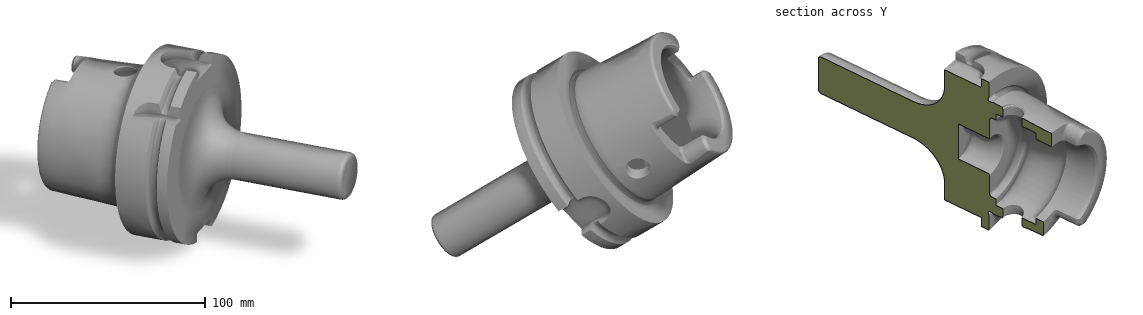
import cadquery as cq
import math

total_length = 160.0

taper_length = 50.0
taper_end_x = 47.4
taper_small_radius = 35.4
taper_big_radius = 37.8
taper_mouth_fillet = 1.6

relief_radius = 37.3
relief_start_x = 48.3
relief_end_x = 49.3
relief_fillet = 1.5
relief_face_radius = 39.7

flange_diameter = 100.0
flange_radius = flange_diameter / 2
flange_width = 29.0
flange_end_x = taper_length + flange_width
groove_radius = 46.0
groove_offset = 20.0
groove_center_x = taper_length + groove_offset
groove_bottom_width = 3.0
groove_top_width = 6.4
groove_fillet = 1.0

shank_radius = 12.5
shank_root_fillet = 20.0
shank_end_fillet = 2.4

bore_radius = 26.5
bore_mouth_radius = 27.4
bore_mouth_depth = 1.5
bore_length = 20.0
cavity_radius = 30.7
cavity_end_x = 45.6
floor_x = 49.6
floor_fillet = 1.8
center_hole_radius = 11.7
center_hole_depth = 20.0
center_hole_chamfer = 0.8

cross_hole_x = 35.0
cross_hole_radius = 6.0
cross_hole_rim_radius = 6.4
cross_hole_rim_z = 36.5

drive_slot_half_width = 10.0
drive_slot_corner_radius = 5.5
drive_slot_shoulder_z = 32.0
drive_slot_floor_fillet = 1.8
drive_slot_mouth_chamfer = 1.6
top_drive_slot_depth = 9.8
bottom_drive_slot_depth = 15.0

keyway_half_width = 9.8
keyway_floor_z = 44.0
keyway_end_x = 55.2
notch_offset = 31.7
notch_end_radius = 8.0
notch_straight_length = 16.2
notch_round_x = flange_end_x - notch_straight_length
cutter_edge_fillet = 0.5

clearance = 16.0

diagonal = math.sqrt(0.5)


def opposite(cutter):
    """Same body turned half way round the X axis."""
    return cutter.rotate((0, 0, 0), (1, 0, 0), 180)


def turned_body():
    """Solid outline of taper, undercut, flange and shank."""
    shank_root_x = flange_end_x + shank_root_fillet
    root_center_r = shank_radius + shank_root_fillet
    relief_center_r = relief_radius + relief_fillet
    outline = (
        cq.Workplane("XY")
        .lineTo(0, taper_small_radius)
        .lineTo(taper_end_x, taper_big_radius)
        .lineTo(relief_start_x, relief_radius)
        .lineTo(relief_end_x, relief_radius)
        .threePointArc(
            (relief_end_x + relief_fillet * diagonal, relief_center_r - relief_fillet * diagonal),
            (relief_end_x + relief_fillet, relief_center_r),
        )
        .lineTo(taper_length, relief_face_radius)
        .lineTo(taper_length, flange_radius)
        .lineTo(flange_end_x, flange_radius)
        .lineTo(flange_end_x, root_center_r)
        .threePointArc(
            (shank_root_x - shank_root_fillet * diagonal, root_center_r - shank_root_fillet * diagonal),
            (shank_root_x, shank_radius),
        )
        .lineTo(total_length, shank_radius)
        .lineTo(total_length, 0)
        .close()
    )
    body = outline.revolve(360, (0, 0, 0), (1, 0, 0))
    body = body.faces("<X").edges().fillet(taper_mouth_fillet)
    return body.faces(">X").edges().fillet(shank_end_fillet)


def gripper_groove():
    """Ring with sloped flanks and rounded bottom corners, cut into the flange rim."""
    half_bottom = groove_bottom_width / 2
    half_top = groove_top_width / 2
    outer_radius = flange_radius + clearance
    ring = (
        cq.Workplane("XY")
        .moveTo(groove_center_x - half_bottom, groove_radius)
        .lineTo(groove_center_x - half_top, flange_radius)
        .lineTo(groove_center_x - half_top, outer_radius)
        .lineTo(groove_center_x + half_top, outer_radius)
        .lineTo(groove_center_x + half_top, flange_radius)
        .lineTo(groove_center_x + half_bottom, groove_radius)
        .close()
        .revolve(360, (0, 0, 0), (1, 0, 0))
    )
    bottom = cq.selectors.RadiusNthSelector(0)
    return ring.edges("%CIRCLE").edges(bottom).fillet(groove_fillet)


def hollow():
    """Bore with a flared mouth, a wider cavity inside, a filleted floor and a blind centre hole."""
    fillet_center_x = floor_x - floor_fillet
    fillet_center_r = bore_radius - floor_fillet
    center_hole_end_x = floor_x + center_hole_depth
    outline = (
        cq.Workplane("XY")
        .lineTo(0, bore_mouth_radius)
        .lineTo(bore_mouth_depth, bore_radius)
        .lineTo(bore_length, bore_radius)
        .lineTo(bore_length, cavity_radius)
        .lineTo(cavity_end_x, cavity_radius)
        .lineTo(cavity_end_x, bore_radius)
        .lineTo(fillet_center_x, bore_radius)
        .threePointArc(
            (fillet_center_x + floor_fillet * diagonal, fillet_center_r + floor_fillet * diagonal),
            (floor_x, fillet_center_r),
        )
        .lineTo(floor_x, center_hole_radius + center_hole_chamfer)
        .lineTo(floor_x + center_hole_chamfer, center_hole_radius)
        .lineTo(center_hole_end_x, center_hole_radius)
        .lineTo(center_hole_end_x, 0)
        .close()
    )
    return outline.revolve(360, (0, 0, 0), (1, 0, 0))


def cross_hole():
    """Hole through both taper walls, flared to a wider rim where it meets the outside."""
    flare = cross_hole_rim_radius - cross_hole_radius
    outline = (
        cq.Workplane("XZ", origin=(cross_hole_x, 0, 0))
        .lineTo(cross_hole_radius, 0)
        .lineTo(cross_hole_radius, cross_hole_rim_z - flare)
        .lineTo(cross_hole_rim_radius, cross_hole_rim_z)
        .lineTo(cross_hole_rim_radius, flange_radius)
        .lineTo(0, flange_radius)
        .close()
    )
    upper_half = outline.revolve(360, (0, 0, 0), (0, 1, 0))
    return upper_half.union(opposite(upper_half))


def drive_slot_outline(x, growth):
    """Slot cross-section at the given X, with its walls moved outward by growth."""
    radius = drive_slot_corner_radius - growth
    corner_y = drive_slot_half_width + drive_slot_corner_radius
    corner_z = drive_slot_shoulder_z - drive_slot_corner_radius
    wall_y = corner_y - radius
    shoulder_z = corner_z + radius
    mid = radius * diagonal
    side = flange_radius
    return (
        cq.Workplane("YZ", origin=(x, 0, 0))
        .moveTo(-wall_y, 0)
        .lineTo(-wall_y, corner_z)
        .threePointArc((-corner_y + mid, corner_z + mid), (-corner_y, shoulder_z))
        .lineTo(-side, shoulder_z)
        .lineTo(-side, side)
        .lineTo(side, side)
        .lineTo(side, shoulder_z)
        .lineTo(corner_y, shoulder_z)
        .threePointArc((corner_y - mid, corner_z + mid), (wall_y, corner_z))
        .lineTo(wall_y, 0)
        .close()
    )


def drive_slot(depth):
    """Slot open to the +Z side, widening over rounded corners to flat shoulders."""
    slot = drive_slot_outline(0, 0).extrude(depth)
    slot = slot.faces(">X").edges().fillet(drive_slot_floor_fillet)
    mouth_wire = drive_slot_outline(0, drive_slot_mouth_chamfer).val()
    inner_wire = drive_slot_outline(drive_slot_mouth_chamfer, 0).val()
    mouth = cq.Solid.makeLoft([mouth_wire, inner_wire], True)
    return slot.union(cq.Workplane(mouth))


def keyway():
    """Round-ended keyway running out of the back of the flange, on the +Z side."""
    height = flange_radius + clearance - keyway_floor_z
    round_x = keyway_end_x + keyway_half_width
    open_x = flange_end_x + clearance
    cutter = (
        cq.Workplane("XY", origin=(0, 0, keyway_floor_z))
        .moveTo(open_x, -keyway_half_width)
        .lineTo(round_x, -keyway_half_width)
        .threePointArc((keyway_end_x, 0), (round_x, keyway_half_width))
        .lineTo(open_x, keyway_half_width)
        .close()
        .extrude(height)
    )
    return cutter.faces("<Z").edges().fillet(cutter_edge_fillet)


def orientation_notch():
    """Corner notch at 45 degrees between -Y and +Z, with a round run-out."""
    length = flange_end_x - notch_round_x + notch_end_radius + clearance
    width = flange_radius + clearance - notch_offset
    start_x = notch_round_x - notch_end_radius
    cutter = (
        cq.Workplane("XY", origin=(start_x, -notch_offset, notch_offset))
        .rect(length, -width, centered=False)
        .extrude(width)
        .edges("|Z and <X and >Y")
        .fillet(notch_end_radius)
    )
    return cutter.faces("<Z").edges().fillet(cutter_edge_fillet)


result = turned_body().cut(gripper_groove()).cut(hollow()).cut(cross_hole())
result = result.cut(drive_slot(top_drive_slot_depth)).cut(opposite(drive_slot(bottom_drive_slot_depth)))
result = result.cut(keyway()).cut(opposite(keyway())).cut(orientation_notch())